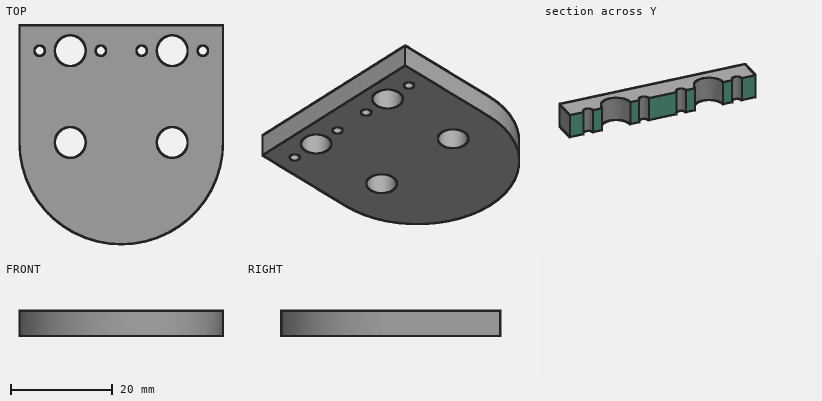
import cadquery as cq

width = 40.0
length = 43.0
thickness = 5.0
end_radius = width / 2
straight_length = length - end_radius

large_diameter = 6.0
small_diameter = 2.0
large_spacing = 20.0
edge_distance = 5.0
small_offset = 6.0

upper_row_y = straight_length - edge_distance
lower_row_y = 0.0
column_positions = [-large_spacing / 2, large_spacing / 2]


def make_plate():
    return (
        cq.Workplane("XY")
        .moveTo(-end_radius, straight_length)
        .lineTo(-end_radius, 0)
        .threePointArc((0, -end_radius), (end_radius, 0))
        .lineTo(end_radius, straight_length)
        .close()
        .extrude(thickness)
    )


def drill(plate, centers, diameter):
    return plate.faces(">Z").workplane(origin=(0, 0, thickness)).pushPoints(centers).hole(diameter)


large_centers = [(x, y) for x in column_positions for y in (lower_row_y, upper_row_y)]
small_centers = [
    (x + offset, upper_row_y) for x in column_positions for offset in (-small_offset, small_offset)
]

result = make_plate()
result = drill(result, large_centers, large_diameter)
result = drill(result, small_centers, small_diameter)